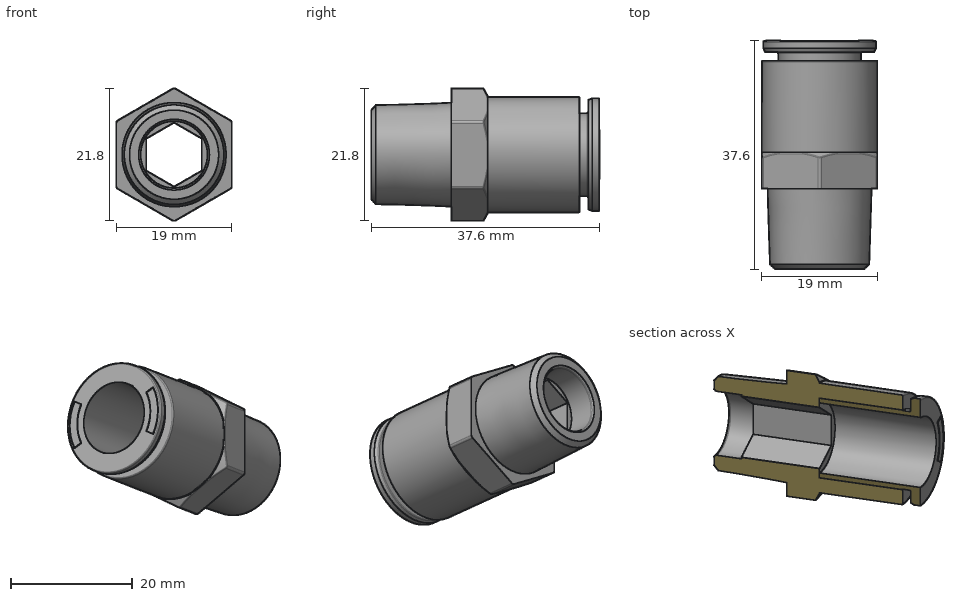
import cadquery as cq
import math


total_length = 37.55
edge_fillet = 0.2

thread_length = 13.18
thread_root_radius = 8.55
thread_taper = 1 / 16
thread_chamfer_length = 0.8
thread_end_radius = 7.32

hex_across_flats = 19.0
hex_height = 5.97
hex_corner_fillet = 0.53
hex_chamfer_radius = 9.6
hex_chamfer_angle = 30.0

barrel_radius = hex_across_flats / 2
barrel_end = 34.2

bore_radius = 5.5
bore_depth = 5.0
bore_chamfer = 0.35
bore_mouth_fillet = 0.25
key_across_flats = 9.1

sleeve_radius = 6.85
tube_radius = 6.0
marking_height = 0.1
flange_radius = 9.27
flange_top = total_length - marking_height
flange_thickness = 1.85
flange_cone_width = 0.3
flange_cone_length = 0.68

marking_inner_radius = 7.25
marking_outer_radius = 8.75
marking_half_angle = 27.0

hex_top = thread_length + hex_height
socket_floor = hex_top
flange_bottom = flange_top - flange_thickness


def revolve_about_y(points):
    """Solid of revolution about Y from (radius, y) points."""
    return cq.Workplane("XY").polyline(points).close().revolve(360, (0, 0, 0), (0, 1, 0))


def cylinder(radius, start, end):
    """Cylinder on the Y axis between two places along it."""
    return cq.Workplane("XZ", origin=(0, start, 0)).circle(radius).extrude(start - end)


def hexagon(across_flats, start, end):
    """Hexagonal prism along Y with two flats facing -X and +X."""
    prism = (
        cq.Workplane("XZ", origin=(0, start, 0))
        .polygon(6, across_flats / math.cos(math.pi / 6))
        .extrude(start - end)
    )
    return prism.rotate((0, 0, 0), (0, 1, 0), 30)


def make_thread():
    """Tapered thread envelope with a chamfered tip."""
    taper_length = thread_length - thread_chamfer_length
    tip_radius = thread_root_radius - taper_length * thread_taper / 2
    return revolve_about_y([
        (0, 0),
        (thread_end_radius, 0),
        (tip_radius, thread_chamfer_length),
        (thread_root_radius, thread_length),
        (0, thread_length),
    ])


def make_hexagon():
    """Wrench hexagon, chamfered towards the barrel, with softened edges."""
    prism = hexagon(hex_across_flats, thread_length, hex_top).edges("|Y").fillet(hex_corner_fillet)
    outer_radius = hex_across_flats
    cone_drop = (outer_radius - hex_chamfer_radius) * math.tan(math.radians(hex_chamfer_angle))
    envelope = revolve_about_y([
        (0, thread_length),
        (outer_radius, thread_length),
        (outer_radius, hex_top - cone_drop),
        (hex_chamfer_radius, hex_top),
        (0, hex_top),
    ])
    head = prism.intersect(envelope)
    return head.edges("not (|Y or <Y or %CIRCLE)").fillet(edge_fillet)


def make_body():
    """Thread, hexagon and barrel with the bore, the hexagon key hole and the sleeve socket."""
    barrel = cylinder(barrel_radius, hex_top, barrel_end).faces(">Y").edges().fillet(edge_fillet)
    body = make_thread().union(make_hexagon()).union(barrel)
    bore = revolve_about_y([
        (0, 0),
        (bore_radius + bore_chamfer, 0),
        (bore_radius, bore_chamfer),
        (bore_radius, bore_depth),
        (0, bore_depth),
    ])
    chamfer_end = cq.selectors.NearestToPointSelector((0, bore_chamfer, 0))
    bore = bore.edges(chamfer_end).fillet(bore_mouth_fillet)
    key_hole = hexagon(key_across_flats, bore_depth, socket_floor)
    socket = cylinder(sleeve_radius, socket_floor, barrel_end)
    return body.cut(bore).cut(key_hole).cut(socket)


def make_marking_pads():
    """Two raised arc-shaped pads on the flange face, at -X and +X."""
    ring = cylinder(marking_outer_radius, flange_top, total_length).cut(
        cylinder(marking_inner_radius, flange_top, total_length)
    )
    reach = flange_radius
    half_width = reach * math.tan(math.radians(marking_half_angle))
    sectors = (
        cq.Workplane("XZ", origin=(0, flange_top, 0))
        .polyline([(0, 0), (reach, half_width), (reach, -half_width)])
        .close()
        .polyline([(0, 0), (-reach, half_width), (-reach, -half_width)])
        .close()
        .extrude(-marking_height)
    )
    return ring.intersect(sectors)


def make_sleeve():
    """Release sleeve: a tube that fills the socket, with a push flange outside it."""
    tube = cylinder(sleeve_radius, socket_floor, flange_bottom)
    flange = revolve_about_y([
        (0, flange_bottom),
        (flange_radius - flange_cone_width, flange_bottom),
        (flange_radius, flange_bottom + flange_cone_length),
        (flange_radius, flange_top),
        (0, flange_top),
    ])
    sleeve = tube.union(flange)
    neck_root = cq.selectors.RadiusNthSelector(0)
    cone_rim = cq.selectors.RadiusNthSelector(-2)
    sleeve = sleeve.edges(neck_root).edges(">Y").fillet(edge_fillet)
    sleeve = sleeve.edges(cone_rim).fillet(edge_fillet)
    sleeve = sleeve.faces(">Y").edges().fillet(edge_fillet)
    sleeve = sleeve.union(make_marking_pads())
    return sleeve.cut(cylinder(tube_radius, socket_floor, total_length))


body = make_body()
release_sleeve = make_sleeve()

result = cq.Compound.makeCompound([body.val(), release_sleeve.val()])